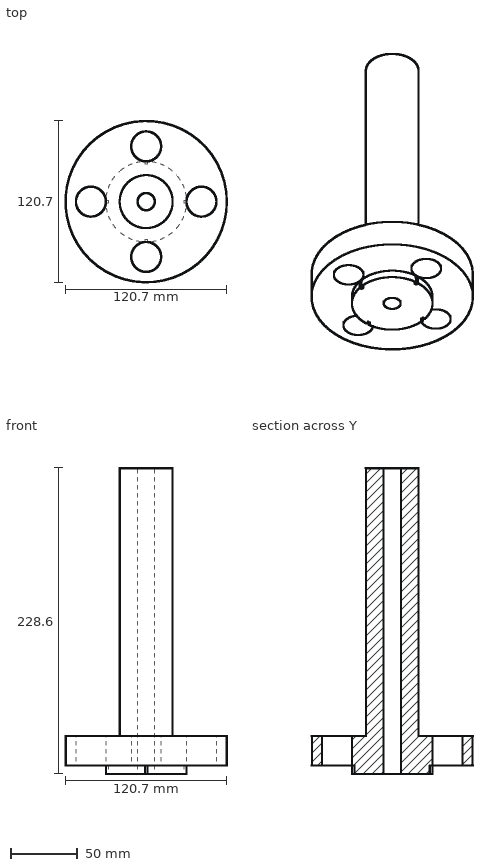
import cadquery as cq
import math

total_height = 228.6
flange_diameter = 120.65
flange_thickness = 22.225
raised_face_diameter = 60.325
raised_face_height = 6.35
stem_diameter = 39.6
bore_diameter = 12.7
bolt_circle_diameter = 82.55
bolt_hole_diameter = 22.225
bolt_hole_count = 4
notch_width = 2.0
notch_depth = 2.0
notch_count = 4

flange_bottom = raised_face_height
flange_top = flange_bottom + flange_thickness


def cylinder(diameter, bottom, top, x=0.0, y=0.0):
    """Vertical cylinder between two Z levels."""
    return cq.Workplane("XY", origin=(x, y, bottom)).circle(diameter / 2).extrude(top - bottom)


def flanged_body():
    """Raised sealing face, flange disc and tall stem, stacked on one axis."""
    raised_face = cylinder(raised_face_diameter, 0, flange_bottom)
    flange = cylinder(flange_diameter, flange_bottom, flange_top)
    stem = cylinder(stem_diameter, flange_top, total_height)
    return raised_face.union(flange).union(stem)


def drill_bolt_holes(body):
    """Cut evenly spaced through holes in the flange, the first on +X."""
    radius = bolt_circle_diameter / 2
    for index in range(bolt_hole_count):
        angle = 2 * math.pi * index / bolt_hole_count
        x = radius * math.cos(angle)
        y = radius * math.sin(angle)
        body = body.cut(cylinder(bolt_hole_diameter, flange_bottom, flange_top, x, y))
    return body


def drill_bore(body):
    """Cut the central bore through the full height."""
    return body.cut(cylinder(bore_diameter, 0, total_height))


def cut_rim_notches(body):
    """Cut narrow radial notches in the raised-face rim, full height, on the X and Y axes."""
    rim_radius = raised_face_diameter / 2
    notch = cq.Workplane("XY").box(
        2 * notch_depth, notch_width, raised_face_height, centered=(True, True, False)
    ).translate((rim_radius, 0, 0))
    for index in range(notch_count):
        angle = 360 / notch_count * index
        body = body.cut(notch.rotate((0, 0, 0), (0, 0, 1), angle))
    return body


body = flanged_body()
body = drill_bolt_holes(body)
body = drill_bore(body)
result = cut_rim_notches(body)